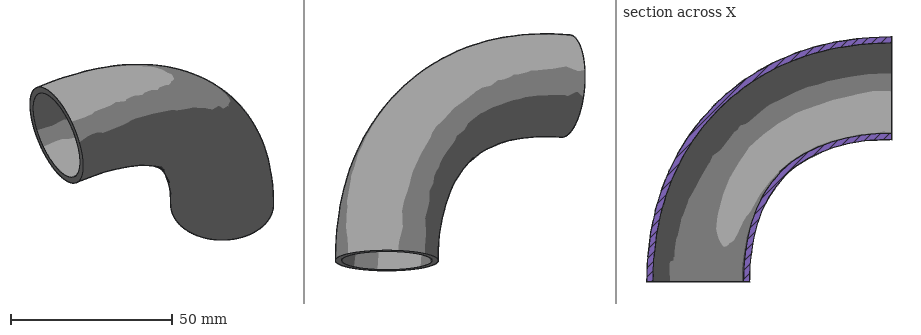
import cadquery as cq
import math

outer_diameter = 32.0
wall_thickness = 2.0
inner_diameter = outer_diameter - 2 * wall_thickness
end_offset = 60.0
fullness = 0.618

seam_angle = 226.0
twist_angle = -39.0

section_count = 9
points_per_section = 24


def wall_point(radius, angle, travel):
    """Point on one wall curve; travel runs from 0 (bottom end) to 1 (front end)."""
    end_angle = angle + math.radians(twist_angle)
    start_reach = end_offset + radius * math.sin(angle)
    end_reach = end_offset + radius * math.sin(end_angle)

    back = 1 - travel
    start_weight = back**3 + 3 * back**2 * travel
    end_weight = travel**3 + 3 * travel**2 * back
    start_handle = 3 * back**2 * travel * fullness * start_reach
    end_handle = 3 * travel**2 * back * fullness * end_reach

    x = radius * (start_weight * math.cos(angle) + end_weight * math.cos(end_angle))
    y = start_weight * start_reach + end_handle
    z = end_weight * end_reach + start_handle
    return cq.Vector(x, y, z)


def section_wire(radius, travel):
    """Closed smooth section of the tube at one place along the bend."""
    points = []
    for index in range(points_per_section):
        angle = math.radians(seam_angle) + 2 * math.pi * index / points_per_section
        points.append(wall_point(radius, angle, travel))
    return cq.Wire.assembleEdges([cq.Edge.makeSpline(points, periodic=True)])


def bent_rod(diameter):
    """Solid elbow of the given end diameter."""
    sections = []
    for index in range(section_count):
        travel = index / (section_count - 1)
        sections.append(section_wire(diameter / 2, travel))
    return cq.Solid.makeLoft(sections)


outer_body = cq.Workplane(obj=bent_rod(outer_diameter))
bore = cq.Workplane(obj=bent_rod(inner_diameter))
result = outer_body.cut(bore)